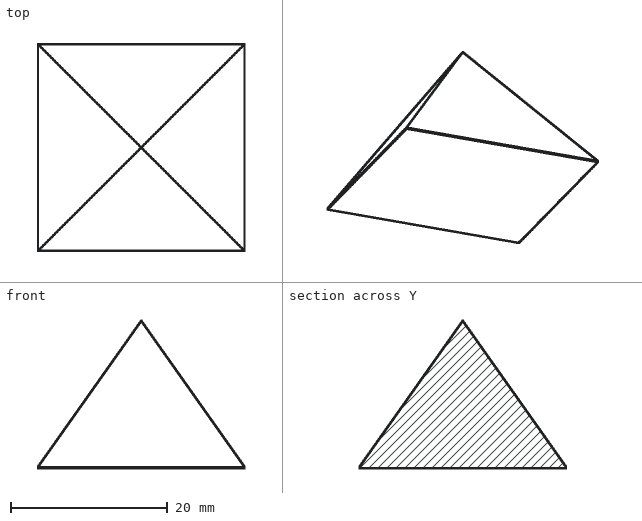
import cadquery as cq
import math

base_side = 26.43
plinth_height = 0.19
pyramid_height = base_side / math.sqrt(2)


def make_plinth():
    return cq.Workplane("XY").rect(base_side, base_side).extrude(plinth_height)


def make_pyramid():
    half = base_side / 2
    corners = [
        cq.Vector(x, y, plinth_height)
        for x, y in [(-half, -half), (half, -half), (half, half), (-half, half)]
    ]
    apex = cq.Vector(0, 0, plinth_height + pyramid_height)
    faces = [cq.Face.makeFromWires(cq.Wire.makePolygon(corners, close=True))]
    for start, end in zip(corners, corners[1:] + corners[:1]):
        side = cq.Wire.makePolygon([start, end, apex], close=True)
        faces.append(cq.Face.makeFromWires(side))
    return cq.Workplane(cq.Solid.makeSolid(cq.Shell.makeShell(faces)))


result = make_plinth().union(make_pyramid())